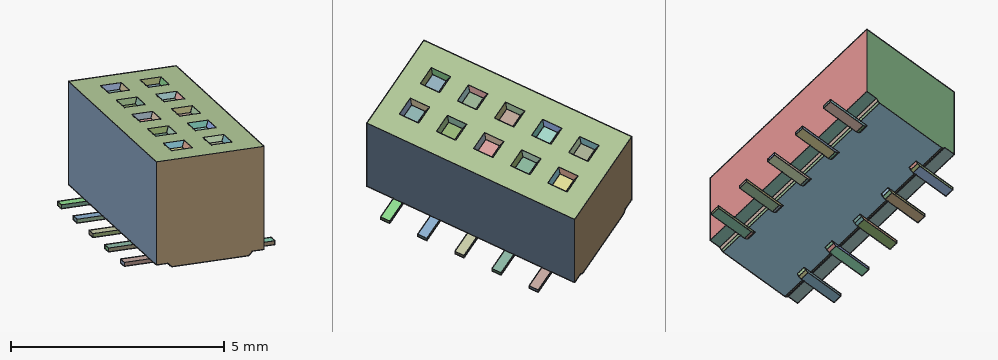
import cadquery as cq

LENGTH = 5.6
TAIL_SPAN = 3.8
HEIGHT = 2.8

COLUMNS = 5
ROWS = 2
END_MARGIN = 0.8
PITCH = (LENGTH - 2 * END_MARGIN) / (COLUMNS - 1)

HOUSING_WIDTH = 2.72
FOOT_WIDTH = 2.13
FOOT_HEIGHT = 0.1
FOOT_STEEP_RUN = 0.05
FOOT_STEEP_DROP = 0.07
FOOT_SHALLOW_RUN = 0.05

SOCKET_MOUTH = 0.52
SOCKET_FLOOR = 0.37
SOCKET_DEPTH = 0.135

TAIL_WIDTH = 0.245
TAIL_THICKNESS = 0.1
TAIL_GAP = 1.52
TAIL_STEEP_RUN = 0.045
TAIL_STEEP_DROP = 0.06
TAIL_SHALLOW_RUN = 0.08

FOOT_BOTTOM = TAIL_THICKNESS
HOUSING_BOTTOM = FOOT_BOTTOM + FOOT_HEIGHT


def make_housing():
    """Rectangular block on a foot whose long edges are cut by two facets."""
    block = cq.Workplane("XY").workplane(offset=HOUSING_BOTTOM).rect(LENGTH, HOUSING_WIDTH)
    block = block.extrude(HEIGHT - HOUSING_BOTTOM)

    side = FOOT_WIDTH / 2
    knee = side - FOOT_STEEP_RUN
    flat = knee - FOOT_SHALLOW_RUN
    foot = (
        cq.Workplane("YZ")
        .moveTo(0, HOUSING_BOTTOM)
        .lineTo(side, HOUSING_BOTTOM)
        .lineTo(knee, HOUSING_BOTTOM - FOOT_STEEP_DROP)
        .lineTo(flat, FOOT_BOTTOM)
        .lineTo(0, FOOT_BOTTOM)
        .mirrorY()
        .extrude(LENGTH / 2, both=True)
    )
    return block.union(foot)


def make_socket(x, y):
    """Square pocket that narrows towards a flat floor."""
    return (
        cq.Workplane("XY", origin=(x, y, HEIGHT))
        .rect(SOCKET_MOUTH, SOCKET_MOUTH)
        .workplane(offset=-SOCKET_DEPTH)
        .rect(SOCKET_FLOOR, SOCKET_FLOOR)
        .loft()
    )


def make_tail(x):
    """Flat tail on the +Y side with two facets under its inner end."""
    inner = TAIL_GAP / 2
    knee = inner + TAIL_STEEP_RUN
    flat = knee + TAIL_SHALLOW_RUN
    outer = TAIL_SPAN / 2
    return (
        cq.Workplane("YZ", origin=(x, 0, 0))
        .moveTo(inner, TAIL_THICKNESS)
        .lineTo(knee, TAIL_THICKNESS - TAIL_STEEP_DROP)
        .lineTo(flat, 0)
        .lineTo(outer, 0)
        .lineTo(outer, TAIL_THICKNESS)
        .close()
        .extrude(TAIL_WIDTH / 2, both=True)
    )


def centred_positions(count):
    """Coordinates of evenly pitched contacts centred on zero."""
    return [(index - (count - 1) / 2) * PITCH for index in range(count)]


result = make_housing()
for column_x in centred_positions(COLUMNS):
    tail = make_tail(column_x)
    result = result.union(tail).union(tail.mirror("XZ"))
    for row_y in centred_positions(ROWS):
        result = result.cut(make_socket(column_x, row_y))